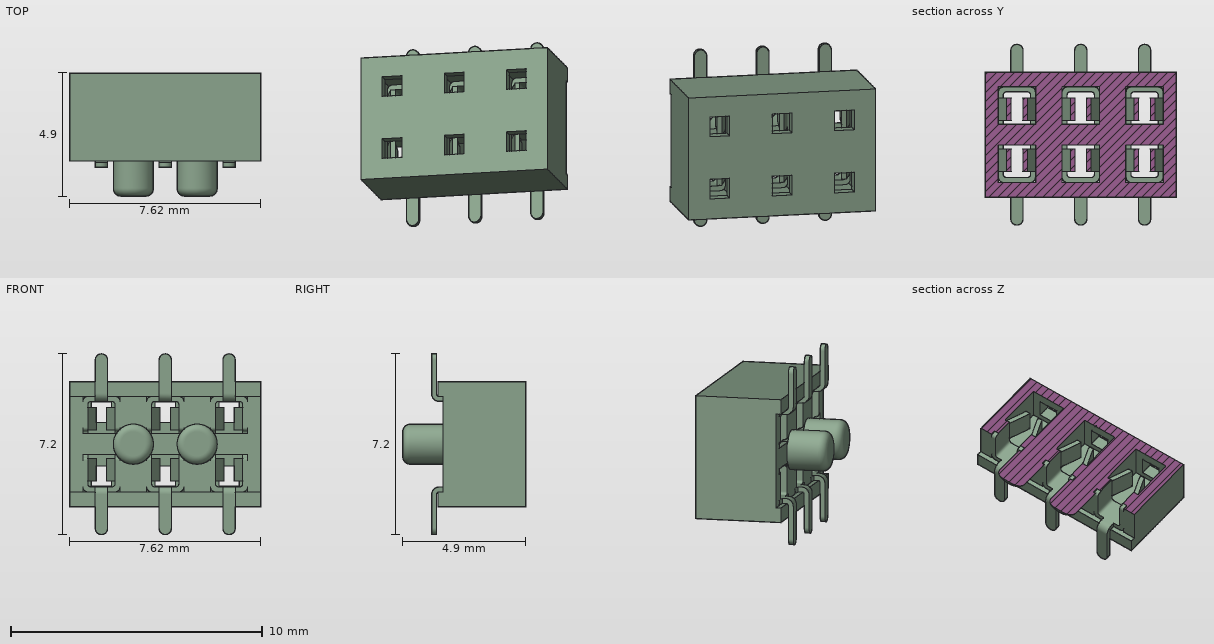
import cadquery as cq
import math


pitch = 2.54
columns = 3
housing_width = columns * pitch
housing_height = 4.98
housing_depth = 3.3
rail_height = 0.2
rail_inner_z = 1.9

post_diameter = 1.6
post_length = 1.6
post_fillet = 0.3

cavity_width = 1.48
cavity_inner_z = 0.42
back_wall = 0.5
cavity_depth = housing_depth - back_wall
entry_size = 0.8

sheet = 0.2
overall_height = 7.2
lead_width = 0.5
lead_outer_y = -0.45
bend_radius = 0.3
channel_depth = 0.95
channel_outer_radius = 0.2
channel_inner_radius = 0.12

wall_front_z = 0.65
curve_middle_z = 0.52

finger_low_z = 0.56
finger_high_z = 1.47
finger_tip_y = 1.85
finger_tip_length = 0.16
finger_tip_bend_x = 0.05
finger_gap = 0.4

column_x = [(i - (columns - 1) / 2) * pitch for i in range(columns)]
post_x = [(a + b) / 2 for a, b in zip(column_x, column_x[1:])]
row_z = pitch / 2
channel_half = cavity_width / 2
channel_inner_half = channel_half - sheet


def block(x0, x1, y0, y1, z0, z1):
    """Box between two opposite corners."""
    box = cq.Workplane("XY").box(x1 - x0, y1 - y0, z1 - z0, centered=False)
    return box.translate((x0, y0, z0))


def both_rows(upper):
    """Add the copy of a row that is mirrored about the mid-plane."""
    return upper.union(upper.mirror("XY"))


def make_rail():
    """Raised rail along the upper edge of the underside."""
    half = housing_width / 2
    return block(-half, half, -rail_height, 0, rail_inner_z, housing_height / 2)


def make_cavity():
    """Contact cavity of one upper position, with its square entry through the back wall."""
    cavity = block(-channel_half, channel_half, 0, cavity_depth, cavity_inner_z, rail_inner_z)
    half = entry_size / 2
    entry = block(-half, half, 0, housing_depth, row_z - half, row_z + half)
    return cavity.union(entry)


def make_post():
    """Round locating post with a rounded tip."""
    post = cq.Workplane("XZ").circle(post_diameter / 2).extrude(post_length)
    return post.faces("<Y").edges().fillet(post_fillet)


def make_lead():
    """Flat tail that leaves the channel, bends outward and ends in a full round."""
    tip_z = overall_height / 2
    bend_z = rail_inner_z - sheet + bend_radius
    bend_y = lead_outer_y + bend_radius
    diagonal = bend_radius * math.sqrt(0.5)
    inner_diagonal = (bend_radius - sheet) * math.sqrt(0.5)
    profile = (
        cq.Workplane("YZ")
        .moveTo(sheet, rail_inner_z - sheet)
        .lineTo(bend_y, rail_inner_z - sheet)
        .threePointArc((bend_y - diagonal, bend_z - diagonal), (lead_outer_y, bend_z))
        .lineTo(lead_outer_y, tip_z)
        .lineTo(lead_outer_y + sheet, tip_z)
        .lineTo(lead_outer_y + sheet, bend_z)
        .threePointArc((bend_y - inner_diagonal, bend_z - inner_diagonal), (bend_y, rail_inner_z))
        .lineTo(sheet, rail_inner_z)
        .close()
    )
    lead = profile.extrude(lead_width / 2, both=True)
    half = lead_width / 2
    rounded_outline = (
        cq.Workplane("XZ", origin=(0, sheet, 0))
        .moveTo(-half, 0)
        .lineTo(half, 0)
        .lineTo(half, tip_z - half)
        .threePointArc((0, tip_z), (-half, tip_z - half))
        .close()
        .extrude(sheet - lead_outer_y)
    )
    return lead.intersect(rounded_outline)


def make_channel():
    """U-shaped sheet channel whose side walls are relieved at the front."""
    outer = block(-channel_half, channel_half, 0, channel_depth, cavity_inner_z, rail_inner_z)
    outer = outer.edges("|Y and >Z").fillet(channel_outer_radius)
    inner = block(
        -channel_inner_half, channel_inner_half, 0, channel_depth, cavity_inner_z, rail_inner_z - sheet
    )
    inner = inner.edges("|Y and >Z").fillet(channel_inner_radius)
    convex_radius = wall_front_z - curve_middle_z
    concave_radius = curve_middle_z - cavity_inner_z
    convex_offset = convex_radius * (1 - math.sqrt(0.5))
    concave_offset = concave_radius * math.sqrt(0.5)
    curve_end_y = convex_radius + concave_radius
    side_profile = (
        cq.Workplane("YZ")
        .moveTo(0, rail_inner_z)
        .lineTo(0, wall_front_z)
        .threePointArc(
            (convex_offset, curve_middle_z + convex_offset), (convex_radius, curve_middle_z)
        )
        .threePointArc(
            (convex_radius + concave_offset, cavity_inner_z + concave_offset),
            (curve_end_y, cavity_inner_z),
        )
        .lineTo(channel_depth, cavity_inner_z)
        .lineTo(channel_depth, rail_inner_z)
        .close()
        .extrude(channel_half, both=True)
    )
    return outer.cut(inner).intersect(side_profile)


def make_finger():
    """Spring finger slanting from the right channel wall toward the middle."""
    tip_x = finger_gap / 2
    inner_face = [
        (channel_inner_half, channel_depth - sheet),
        (channel_inner_half, channel_depth),
        (tip_x + finger_tip_bend_x, finger_tip_y - finger_tip_length),
        (tip_x, finger_tip_y),
    ]
    outer_face = [(x + sheet, y) for x, y in reversed(inner_face)]
    outline = cq.Workplane("XY").workplane(offset=finger_low_z).polyline(inner_face + outer_face)
    return outline.close().extrude(finger_high_z - finger_low_z)


def make_contact():
    """Complete contact of one upper position."""
    finger = make_finger()
    return make_channel().union(make_lead()).union(finger).union(finger.mirror("YZ"))


half_width = housing_width / 2
half_height = housing_height / 2
result = block(-half_width, half_width, 0, housing_depth, -half_height, half_height)
result = result.union(both_rows(make_rail()))

cavities = both_rows(make_cavity())
contacts = both_rows(make_contact())
for x in column_x:
    result = result.cut(cavities.translate((x, 0, 0)))
for x in column_x:
    result = result.union(contacts.translate((x, 0, 0)))
for x in post_x:
    result = result.union(make_post().translate((x, 0, 0)))